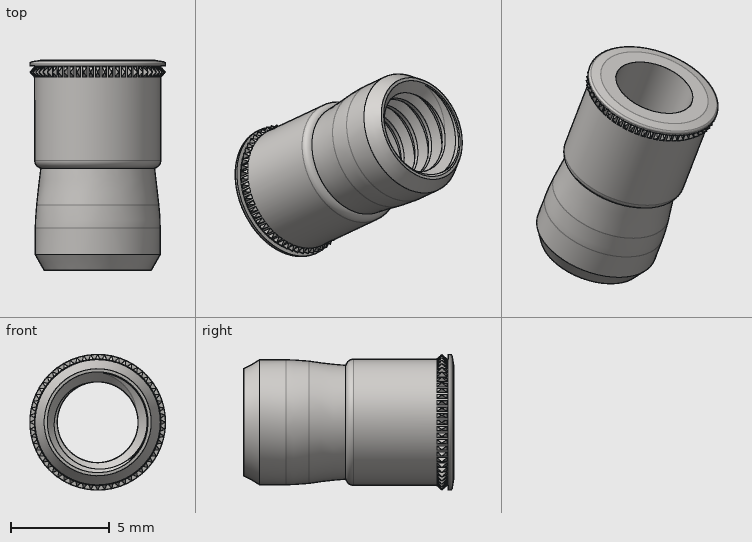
import cadquery as cq
import math

LENGTH = 10.65

FLANGE_RADIUS = 3.44
FLANGE_THICKNESS = 0.30
FLANGE_FACE_RADIUS = 2.85
RIM_ROUND_RADIUS = 0.117
RIM_ROUND_END_DEPTH = 0.20
CROWN_ANGLE = math.radians(9.5)

TOOTH_COUNT = 60
TOOTH_TIP_RADIUS = 3.43
TOOTH_WIDTH = 0.28
TOOTH_ROOT_SINK = 0.05
KNURL_END_DEPTH = 0.92

BODY_RADIUS = 3.20
BODY_END_DEPTH = 5.48
BODY_ROUND_RADIUS = 0.40
NECK_RADIUS = 2.89
TAPER_END_DEPTH = 7.33
TAPER_END_RADIUS = 3.10
TAIL_DEPTH = 8.50
TAIL_RADIUS = 3.17
LEAD_IN_DEPTH = 9.84
END_RADIUS = 2.71

BORE_RADIUS = 2.04
COUNTERSINK_RADIUS = 2.55
END_CLEARANCE = 0.20
THREAD_PITCH = 1.058
THREAD_MAJOR_RADIUS = 2.50
THREAD_ROOT_WIDTH = 0.30
THREAD_HALF_ANGLE = math.radians(30)
THREAD_START_ANGLE = 90
THREAD_START_DEPTH = BODY_END_DEPTH
THREAD_RUNOUT = THREAD_PITCH
THREAD_OVERLAP = 0.10


def make_blank():
    """Revolve the solid outer shape of flange, body and tail."""
    crown_end_radius = FLANGE_RADIUS - RIM_ROUND_RADIUS * (1 - math.sin(CROWN_ANGLE))
    crown_end_depth = RIM_ROUND_END_DEPTH - RIM_ROUND_RADIUS * math.cos(CROWN_ANGLE)
    profile = (
        cq.Workplane("XY")
        .lineTo(FLANGE_FACE_RADIUS, 0)
        .lineTo(crown_end_radius, -crown_end_depth)
        .tangentArcPoint((FLANGE_RADIUS, -RIM_ROUND_END_DEPTH), relative=False)
        .lineTo(FLANGE_RADIUS, -FLANGE_THICKNESS)
        .lineTo(BODY_RADIUS, -FLANGE_THICKNESS)
        .lineTo(BODY_RADIUS, BODY_ROUND_RADIUS - BODY_END_DEPTH)
        .radiusArc((BODY_RADIUS - BODY_ROUND_RADIUS, -BODY_END_DEPTH), BODY_ROUND_RADIUS)
        .lineTo(NECK_RADIUS, -BODY_END_DEPTH)
        .lineTo(TAPER_END_RADIUS, -TAPER_END_DEPTH)
        .tangentArcPoint((TAIL_RADIUS, -TAIL_DEPTH), relative=False)
        .lineTo(TAIL_RADIUS, -LEAD_IN_DEPTH)
        .lineTo(END_RADIUS, -LENGTH)
        .lineTo(0, -LENGTH)
        .close()
    )
    return profile.revolve(360, (0, 0, 0), (0, 1, 0))


def make_tooth():
    """Pyramid pointing along +X, its base sunk slightly into the body."""
    base_radius = BODY_RADIUS - TOOTH_ROOT_SINK
    near, far = -FLANGE_THICKNESS, -KNURL_END_DEPTH
    half_width = TOOTH_WIDTH / 2
    tip = cq.Vector(TOOTH_TIP_RADIUS, (near + far) / 2, 0)
    corners = [
        cq.Vector(base_radius, near, -half_width),
        cq.Vector(base_radius, near, half_width),
        cq.Vector(base_radius, far, half_width),
        cq.Vector(base_radius, far, -half_width),
    ]
    faces = [cq.Face.makeFromWires(cq.Wire.makePolygon(corners, close=True))]
    for i, corner in enumerate(corners):
        side = [corner, corners[(i + 1) % len(corners)], tip]
        faces.append(cq.Face.makeFromWires(cq.Wire.makePolygon(side, close=True)))
    return cq.Solid.makeSolid(cq.Shell.makeShell(faces))


def make_knurl():
    """Ring of evenly spaced pyramid teeth."""
    tooth = make_tooth()
    axis_start = cq.Vector(0, 0, 0)
    axis_end = cq.Vector(0, 1, 0)
    step = 360 / TOOTH_COUNT
    return [tooth.rotate(axis_start, axis_end, i * step) for i in range(TOOTH_COUNT)]


def make_countersink():
    """Cone that opens the tail end of the bore at 45 degrees, run out past the end."""
    height = COUNTERSINK_RADIUS + END_CLEARANCE
    cone_start = cq.Vector(0, -LENGTH - END_CLEARANCE, 0)
    return cq.Solid.makeCone(height, 0, height, pnt=cone_start, dir=cq.Vector(0, 1, 0))


def make_thread_groove():
    """Right-hand helical groove, bounded by ruled faces between four helices."""
    groove_length = LENGTH - THREAD_START_DEPTH + THREAD_RUNOUT
    inner_radius = BORE_RADIUS - THREAD_OVERLAP
    groove_depth = THREAD_MAJOR_RADIUS - inner_radius
    root_half = THREAD_ROOT_WIDTH / 2
    mouth_half = root_half + groove_depth * math.tan(THREAD_HALF_ANGLE)
    section = [
        (inner_radius, -mouth_half),
        (THREAD_MAJOR_RADIUS, -root_half),
        (THREAD_MAJOR_RADIUS, root_half),
        (inner_radius, mouth_half),
    ]
    helices = [
        cq.Wire.makeHelix(THREAD_PITCH, groove_length, radius, center=cq.Vector(0, 0, height))
        for radius, height in section
    ]
    faces = [
        cq.Face.makeRuledSurface(helix, helices[(i + 1) % len(helices)])
        for i, helix in enumerate(helices)
    ]
    starts = [helix.startPoint() for helix in helices]
    ends = [helix.endPoint() for helix in helices]
    for corners in (starts, ends):
        faces.append(cq.Face.makeFromWires(cq.Wire.makePolygon(corners, close=True)))
    return cq.Solid.makeSolid(cq.Shell.makeShell(faces))


def make_tap():
    """Bore cylinder, longer than the part at both ends, joined with the thread groove of the tail."""
    groove = (
        make_thread_groove()
        .rotate(cq.Vector(0, 0, 0), cq.Vector(0, 0, 1), THREAD_START_ANGLE)
        .rotate(cq.Vector(0, 0, 0), cq.Vector(1, 0, 0), 90)
        .translate(cq.Vector(0, -THREAD_START_DEPTH, 0))
    )
    core_length = LENGTH + 2 * THREAD_RUNOUT
    core_start = cq.Vector(0, THREAD_RUNOUT, 0)
    core = cq.Solid.makeCylinder(BORE_RADIUS, core_length, core_start, cq.Vector(0, -1, 0))
    return core.fuse(groove)


countersunk = make_blank().val().cut(make_countersink())
threaded = countersunk.cut(make_tap())
knurled = threaded.fuse(*make_knurl())
result = cq.Workplane(obj=knurled.Solids()[0])